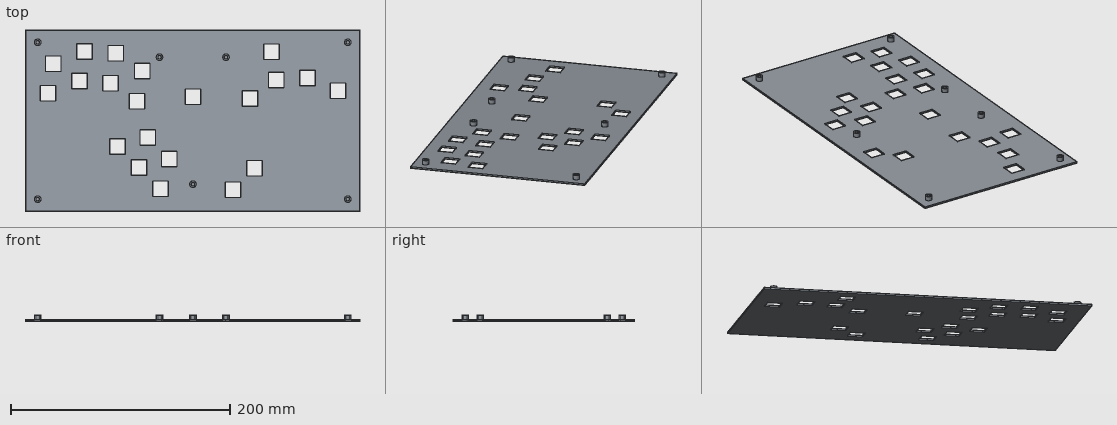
import cadquery as cq

PLATE_LENGTH = 304.8
PLATE_WIDTH = 165.1
TOTAL_HEIGHT = 5.6
STANDOFF_HEIGHT = 4.0
PLATE_THICKNESS = TOTAL_HEIGHT - STANDOFF_HEIGHT

SWITCH_SIZE = 13.9
LEFT_FINGER_UPPER_ROW = [(-127.10, 52.04), (-98.58, 63.22), (-70.23, 61.41), (-46.04, 45.28)]
LEFT_FINGER_LOWER_ROW = [(-132.01, 25.02), (-103.33, 36.20), (-74.95, 34.13), (-50.93, 17.76)]
RIGHT_FINGER_UPPER_ROW = [(71.70, 62.81)]
RIGHT_FINGER_LOWER_ROW = [(52.15, 20.32), (76.23, 37.03), (104.64, 39.03), (132.41, 27.32)]
LEFT_THUMB_CLUSTER = [
    (-68.70, -23.52),
    (-41.03, -15.25),
    (-49.04, -42.67),
    (-21.39, -34.86),
    (-29.46, -62.05),
]
RIGHT_THUMB_CLUSTER = [(56.35, -43.27), (36.80, -62.81)]
CENTRE_SWITCH = [(0.18, 21.91)]

STANDOFF_DIAMETER = 6.0
BORE_DIAMETER = 3.2
CORNER_INSET = 11.05
UPPER_STANDOFF_X = 30.3
UPPER_STANDOFF_Y = 57.95
LOWER_STANDOFF = (0.2, -57.85)


def make_plate():
    return cq.Workplane("XY").box(
        PLATE_LENGTH, PLATE_WIDTH, PLATE_THICKNESS, centered=(True, True, False)
    )


def make_switch_openings():
    centres = (
        LEFT_FINGER_UPPER_ROW
        + LEFT_FINGER_LOWER_ROW
        + RIGHT_FINGER_UPPER_ROW
        + RIGHT_FINGER_LOWER_ROW
        + LEFT_THUMB_CLUSTER
        + RIGHT_THUMB_CLUSTER
        + CENTRE_SWITCH
    )
    return (
        cq.Workplane("XY")
        .pushPoints(centres)
        .rect(SWITCH_SIZE, SWITCH_SIZE)
        .extrude(PLATE_THICKNESS)
    )


def standoff_centres():
    corner_x = PLATE_LENGTH / 2 - CORNER_INSET
    corner_y = PLATE_WIDTH / 2 - CORNER_INSET
    centres = [LOWER_STANDOFF]
    for side in (-1, 1):
        centres.append((side * UPPER_STANDOFF_X, UPPER_STANDOFF_Y))
        centres.append((side * corner_x, -corner_y))
        centres.append((side * corner_x, corner_y))
    return centres


def make_standoffs():
    return (
        cq.Workplane("XY")
        .workplane(offset=PLATE_THICKNESS)
        .pushPoints(standoff_centres())
        .circle(STANDOFF_DIAMETER / 2)
        .circle(BORE_DIAMETER / 2)
        .extrude(STANDOFF_HEIGHT)
    )


result = make_plate().cut(make_switch_openings()).union(make_standoffs())